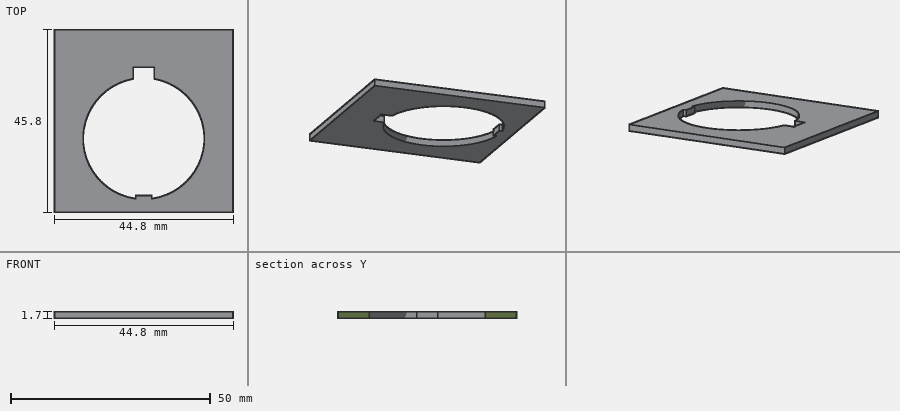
import cadquery as cq

plate_width = 44.8
plate_length = 45.75
plate_thickness = 1.7

opening_diameter = 30.3
opening_center_y = -4.4

notch_width = 5.2
notch_reach = 17.8

tab_width = 4.1
tab_reach = 14.2


def make_plate():
    return cq.Workplane("XY").box(plate_width, plate_length, plate_thickness, centered=(True, True, False))


def make_round_cutter():
    return (
        cq.Workplane("XY")
        .center(0, opening_center_y)
        .circle(opening_diameter / 2)
        .extrude(plate_thickness)
    )


def make_notch_cutter():
    return (
        cq.Workplane("XY")
        .center(0, opening_center_y + notch_reach / 2)
        .rect(notch_width, notch_reach)
        .extrude(plate_thickness)
    )


def make_tab():
    tab_length = opening_diameter / 2 - tab_reach
    return (
        cq.Workplane("XY")
        .center(0, opening_center_y - tab_reach - tab_length / 2)
        .rect(tab_width, tab_length)
        .extrude(plate_thickness)
    )


opening = make_round_cutter().union(make_notch_cutter()).cut(make_tab())
result = make_plate().cut(opening)